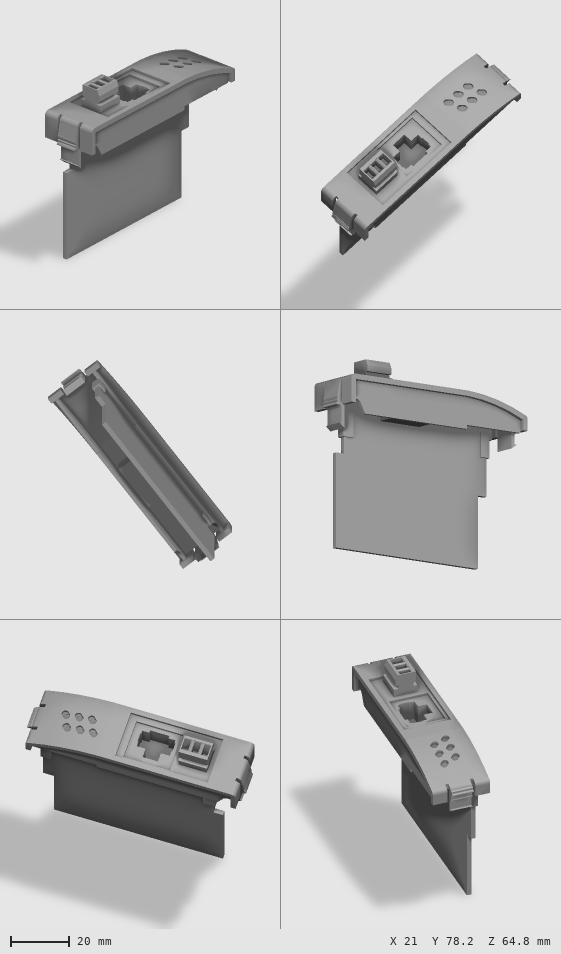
import cadquery as cq
import math


WIDTH = 21.0
LENGTH = 78.2
COVER_END = 37.55
WALL = 1.9
CURVE_START_Y = 12.2
CURVE_MID = (24.9, -1.7)
CURVE_END_Z = -6.0
FRONT_ROUND = 1.7
REAR_ROUND = 1.6
FRONT_SKIRT_Z = -9.9
REAR_SKIRT_Z = -10.9
INNER_END = COVER_END - WALL
BELOW = -31.3

CLIP_HALF_WIDTH = 3.9
NOTCH_WIDTH = 1.2
REAR_NOTCH_Y = 35.3
TIP_Y = LENGTH / 2
LEG_FACE_Y = 36.9
FRONT_HOOK_Y = 37.6
FRONT_HOOK_Z = -16.1
FRONT_HOOK_TIP_Z = -17.75
REAR_HOOK_Y = 37.9
REAR_HOOK_Z = -14.55
REAR_HOOK_TIP_Z = -16.1
LEG_ROOT_Y = 37.3
LEG_ROOT_END_Z = -10.65
GRIP_Y = 38.5
GRIP_UPPER_RIB_Z = (-6.3, -7.6)
GRIP_UPPER_RIB_CREST = (-38.65, -7.0)
GRIP_GROOVE = (-38.4, -7.9)
GRIP_LOWER_RIB_CREST = (-38.8, -8.4)
GRIP_LOWER_RIB_END_Z = -8.8
GRIP_LIP_Z = -8.9
LIP_TOP_Z = -6.4
LIP_TOP_Y = (37.4, 37.9)
LIP_STEP_Y = 38.3
LIP_BEVEL_Z = -6.7
LIP_STEP_Z = -7.35
LIP_BOTTOM_Z = -7.9
LIP_ROUND = LIP_STEP_Z - LIP_BOTTOM_Z
REAR_BEAD_Y = 37.9
REAR_BEAD_Z = (-10.3, -10.65)

PLATE_SPANS = ((-8.4, -7.2), (7.7, 8.85))
PLATE_REAR_Z = -11.6
PLATE_FRONT_Z = -13.0
PLATE_STEP_Y = 12.8
PLATE_TOE_Y = -30.5
PLATE_RELIEF_Z = -8.3
PLATE_RELIEF_Y = -33.0
RELIEF_ROUND = 1.95

BOARD_X = (-7.2, -5.55)
BOARD_TOP_Z = FRONT_SKIRT_Z
BOARD_BOTTOM_Z = -57.3
BOARD_UPPER_Y = (-28.6, 32.2)
BOARD_LOWER_Y = (-32.0, 28.4)
BOARD_FRONT_STEP_Z = -24.25
BOARD_REAR_STEP_Z = -31.85
SUPPORT_X = (-7.9, -4.85)
SUPPORT_BOTTOM_Z = -18.5
SUPPORT_SPANS_Y = ((29.3, 32.9), (-29.4, -25.1))

WINDOW_X = (-8.6, 8.6)
WINDOW_Y = (-27.0, 6.0)
WINDOW_Z = -1.0
JACK_X = (-7.7, 6.5)
JACK_Y = (-13.3, 3.45)
JACK_FACE_Z = -1.9
JACK_FLOOR_Z = -9.0
JACK_BOTTOM_Z = FRONT_SKIRT_Z
JACK_BASE_X = (-7.7, 5.1)
JACK_BASE_Z = -11.1
SOCKET_CENTER_Y = -5.4
SOCKET_STEPS = (
    ((-5.3, 5.1), 2.7),
    ((-2.0, 5.1), 3.45),
    ((-2.0, 4.15), 5.95),
    ((-0.15, 3.0), 6.25),
)

PLUG_Y = (-25.35, -15.2)
PLUG_TOP_Z = 7.5
PLUG_BASE_X = (-4.6, 3.9)
PLUG_GROOVE_X = (-3.2, 2.2)
PLUG_GROOVE_Z = (1.9, 3.3)
PLUG_HEAD_X = (-4.15, 3.4)
PLUG_SLOPE_Z = 5.5
PLUG_TOP_RIGHT_X = 2.5
WELL_COUNT = 3
WELL_PITCH = 3.5
WELL_LENGTH = 2.35
WELL_X = (-2.65, 1.4)
WELL_FLOOR_X = -0.2
WELL_DEPTH = 4.3
WELL_LEAD_IN = 0.2
RIDGE_DROP = 0.1
RIB_SHOULDER_DROP = 0.5

HOLE_RADIUS = 1.21
HOLE_PITCH_Y = 4.7
HOLE_COLUMNS = ((-3.0, 15.5), (1.7, 17.4))
HOLE_ROWS = 3
HOLE_DEPTH = 1.2
SLOT_DEPTH = 1.0
SLOT_SHIFT = 0.8


def box(xs, ys, zs):
    """Block spanning the given (low, high) pairs."""
    size = [high - low for low, high in (xs, ys, zs)]
    return cq.Workplane("XY").box(*size, centered=False).translate((xs[0], ys[0], zs[0]))


def along_x(outline, xs):
    """Extrude a closed Y-Z outline between two X positions."""
    return outline.extrude(xs[1] - xs[0]).translate((xs[0], 0, 0))


def roof_outline():
    """Outer side outline of the cover, closed well below it."""
    return (
        cq.Workplane("YZ")
        .moveTo(-COVER_END, BELOW)
        .lineTo(-COVER_END, 0)
        .lineTo(CURVE_START_Y, 0)
        .threePointArc(CURVE_MID, (COVER_END, CURVE_END_Z))
        .lineTo(COVER_END, BELOW)
        .close()
    )


full_width = (-WIDTH / 2, WIDTH / 2)
clip_width = (-CLIP_HALF_WIDTH, CLIP_HALF_WIDTH)
cavity = along_x(roof_outline().offset2D(-WALL, "intersection"), full_width)


def make_cover():
    """Roof with a rounded end wall at each end; the sides and the underside are open."""
    front_corner = cq.selectors.NearestToPointSelector((0, -COVER_END, 0))
    rear_corner = cq.selectors.NearestToPointSelector((0, COVER_END, CURVE_END_Z))
    cover = along_x(roof_outline(), full_width)
    cover = cover.edges(front_corner).fillet(FRONT_ROUND)
    cover = cover.edges(rear_corner).fillet(REAR_ROUND)
    cover = cover.cut(cavity)
    cover = cover.cut(box(full_width, (-COVER_END, 0), (BELOW, FRONT_SKIRT_Z)))
    cover = cover.cut(box(full_width, (0, COVER_END), (BELOW, REAR_SKIRT_Z)))
    notch_outer = CLIP_HALF_WIDTH + NOTCH_WIDTH
    for xs in ((-notch_outer, -CLIP_HALF_WIDTH), (CLIP_HALF_WIDTH, notch_outer)):
        cover = cover.cut(box(xs, (-COVER_END, -INNER_END), (BELOW, 0)))
        cover = cover.cut(box(xs, (REAR_NOTCH_Y, COVER_END), (BELOW, 0)))
    return cover


def make_front_clip():
    """Wedge-shaped thumb grip with two round ribs and a lip, above a hooked spring leg."""
    lip_reach = TIP_Y - GRIP_Y
    lip_drop = GRIP_LIP_Z - FRONT_SKIRT_Z
    lip_radius = (lip_reach**2 + lip_drop**2) / (2 * lip_reach)
    outline = (
        cq.Workplane("YZ")
        .moveTo(-INNER_END, -FRONT_ROUND)
        .lineTo(-COVER_END, -FRONT_ROUND)
        .lineTo(-GRIP_Y, GRIP_UPPER_RIB_Z[0])
        .threePointArc(GRIP_UPPER_RIB_CREST, (-GRIP_Y, GRIP_UPPER_RIB_Z[1]))
        .lineTo(*GRIP_GROOVE)
        .threePointArc(GRIP_LOWER_RIB_CREST, (-GRIP_Y, GRIP_LOWER_RIB_END_Z))
        .lineTo(-GRIP_Y, GRIP_LIP_Z)
        .radiusArc((-TIP_Y, FRONT_SKIRT_Z), -lip_radius)
        .lineTo(-LEG_ROOT_Y, FRONT_SKIRT_Z)
        .lineTo(-LEG_FACE_Y, LEG_ROOT_END_Z)
        .lineTo(-LEG_FACE_Y, FRONT_HOOK_Z)
        .lineTo(-FRONT_HOOK_Y, FRONT_HOOK_Z)
        .lineTo(-INNER_END, FRONT_HOOK_TIP_Z)
        .close()
    )
    return along_x(outline, clip_width)


def make_rear_clip():
    """Stepped finger lip and a small lower lip, above a hooked spring leg."""
    outline = (
        cq.Workplane("YZ")
        .moveTo(INNER_END, LIP_STEP_Z)
        .lineTo(LIP_TOP_Y[0], LIP_TOP_Z)
        .lineTo(LIP_TOP_Y[1], LIP_TOP_Z)
        .lineTo(LIP_STEP_Y, LIP_BEVEL_Z)
        .lineTo(LIP_STEP_Y, LIP_STEP_Z)
        .lineTo(TIP_Y - LIP_ROUND, LIP_STEP_Z)
        .radiusArc((TIP_Y, LIP_BOTTOM_Z), LIP_ROUND)
        .lineTo(COVER_END, LIP_BOTTOM_Z)
        .lineTo(COVER_END, REAR_BEAD_Z[0])
        .lineTo(REAR_BEAD_Y, REAR_BEAD_Z[0])
        .lineTo(REAR_BEAD_Y, REAR_BEAD_Z[1])
        .lineTo(LEG_FACE_Y, REAR_BEAD_Z[1])
        .lineTo(LEG_FACE_Y, REAR_HOOK_Z)
        .lineTo(REAR_HOOK_Y, REAR_HOOK_Z)
        .lineTo(INNER_END, REAR_HOOK_TIP_Z)
        .close()
    )
    return along_x(outline, clip_width)


def make_side_plate(xs):
    """Thin plate under the roof, with a stepped lower edge and a rounded relief at the front."""
    outline = (
        cq.Workplane("YZ")
        .moveTo(INNER_END, 0)
        .lineTo(INNER_END, PLATE_REAR_Z)
        .lineTo(PLATE_STEP_Y, PLATE_REAR_Z)
        .lineTo(PLATE_STEP_Y, PLATE_FRONT_Z)
        .lineTo(PLATE_TOE_Y, PLATE_FRONT_Z)
        .lineTo(PLATE_RELIEF_Y, PLATE_RELIEF_Z)
        .lineTo(-INNER_END, PLATE_RELIEF_Z)
        .lineTo(-INNER_END, 0)
        .close()
    )
    plate = along_x(outline, xs)
    relief_corner = cq.selectors.NearestToPointSelector((sum(xs) / 2, PLATE_RELIEF_Y, PLATE_RELIEF_Z))
    return plate.edges(relief_corner).fillet(RELIEF_ROUND).intersect(cavity)


def make_board():
    """Circuit board hanging below the cover, with its two supports."""
    outline = (
        cq.Workplane("YZ")
        .moveTo(BOARD_UPPER_Y[0], BOARD_TOP_Z)
        .lineTo(BOARD_UPPER_Y[0], BOARD_FRONT_STEP_Z)
        .lineTo(BOARD_LOWER_Y[0], BOARD_FRONT_STEP_Z)
        .lineTo(BOARD_LOWER_Y[0], BOARD_BOTTOM_Z)
        .lineTo(BOARD_LOWER_Y[1], BOARD_BOTTOM_Z)
        .lineTo(BOARD_LOWER_Y[1], BOARD_REAR_STEP_Z)
        .lineTo(BOARD_UPPER_Y[1], BOARD_REAR_STEP_Z)
        .lineTo(BOARD_UPPER_Y[1], BOARD_TOP_Z)
        .close()
    )
    board = along_x(outline, BOARD_X)
    for ys in SUPPORT_SPANS_Y:
        board = board.union(box(SUPPORT_X, ys, (SUPPORT_BOTTOM_Z, BOARD_TOP_Z)))
    return board


def make_socket():
    """Opening of the network jack: stepped blocks sharing one centre line, latch slot towards -X."""
    socket = cq.Workplane("XY")
    for xs, half_length in SOCKET_STEPS:
        ys = (SOCKET_CENTER_Y - half_length, SOCKET_CENTER_Y + half_length)
        socket = socket.union(box(xs, ys, (JACK_FLOOR_Z, JACK_FACE_Z)))
    return socket


def make_plug():
    """Terminal plug with grooved sides and three wire wells in its top."""
    outline = (
        cq.Workplane("XZ")
        .moveTo(PLUG_BASE_X[0], WINDOW_Z)
        .lineTo(PLUG_BASE_X[0], PLUG_GROOVE_Z[0])
        .lineTo(PLUG_GROOVE_X[0], PLUG_GROOVE_Z[0])
        .lineTo(PLUG_GROOVE_X[0], PLUG_GROOVE_Z[1])
        .lineTo(PLUG_HEAD_X[0], PLUG_GROOVE_Z[1])
        .lineTo(PLUG_HEAD_X[0], PLUG_TOP_Z)
        .lineTo(PLUG_TOP_RIGHT_X, PLUG_TOP_Z)
        .lineTo(PLUG_HEAD_X[1], PLUG_SLOPE_Z)
        .lineTo(PLUG_HEAD_X[1], PLUG_GROOVE_Z[1])
        .lineTo(PLUG_GROOVE_X[1], PLUG_GROOVE_Z[1])
        .lineTo(PLUG_GROOVE_X[1], PLUG_GROOVE_Z[0])
        .lineTo(PLUG_BASE_X[1], PLUG_GROOVE_Z[0])
        .lineTo(PLUG_BASE_X[1], WINDOW_Z)
        .close()
    )
    plug = outline.extrude(PLUG_Y[1] - PLUG_Y[0]).translate((0, PLUG_Y[1], 0))
    well_floor_z = PLUG_TOP_Z - WELL_DEPTH
    lead_in_z = PLUG_TOP_Z - WELL_LEAD_IN
    middle_y = sum(PLUG_Y) / 2
    for index in range(WELL_COUNT):
        center_y = middle_y + (index - (WELL_COUNT - 1) / 2) * WELL_PITCH
        well = (
            cq.Workplane("XZ")
            .moveTo(WELL_X[0], well_floor_z)
            .lineTo(WELL_FLOOR_X, well_floor_z)
            .lineTo(WELL_X[1], lead_in_z)
            .lineTo(WELL_X[1] + WELL_LEAD_IN, PLUG_TOP_Z)
            .lineTo(WELL_X[0] - WELL_LEAD_IN, PLUG_TOP_Z)
            .lineTo(WELL_X[0], lead_in_z)
            .close()
            .extrude(WELL_LENGTH / 2, both=True)
            .translate((0, center_y, 0))
        )
        plug = plug.cut(well)
    mouth_x = (WELL_X[0] - WELL_LEAD_IN, WELL_X[1] + WELL_LEAD_IN)
    rib_half = (WELL_PITCH - WELL_LENGTH) / 2
    shoulder_z = PLUG_TOP_Z - RIB_SHOULDER_DROP
    for index in range(WELL_COUNT - 1):
        rib_y = middle_y + (index - (WELL_COUNT - 2) / 2) * WELL_PITCH
        above_rib = (
            cq.Workplane("YZ")
            .moveTo(rib_y - rib_half, PLUG_TOP_Z)
            .lineTo(rib_y - rib_half, shoulder_z)
            .lineTo(rib_y, PLUG_TOP_Z - RIDGE_DROP)
            .lineTo(rib_y + rib_half, shoulder_z)
            .lineTo(rib_y + rib_half, PLUG_TOP_Z)
            .close()
        )
        plug = plug.cut(along_x(above_rib, mouth_x))
    return plug


def above_sunken_roof(depth):
    """Space from the given depth under the roof surface up to the top of the cover."""
    space = box(full_width, (-COVER_END, COVER_END), (BELOW, 0))
    return space.cut(along_x(roof_outline(), full_width).translate((0, 0, -depth)))


def make_holes():
    """Two columns of indicator holes whose floors follow the curved roof."""
    places = []
    for x, first_y in HOLE_COLUMNS:
        places += [(x, first_y + row * HOLE_PITCH_Y) for row in range(HOLE_ROWS)]
    slot_places = [(x + SLOT_SHIFT / 2, y + SLOT_SHIFT / 2) for x, y in places]
    slot_length = 2 * HOLE_RADIUS + math.hypot(SLOT_SHIFT, SLOT_SHIFT)
    slot_angle = 45
    base = cq.Workplane("XY").workplane(offset=CURVE_END_Z)
    rounds = base.pushPoints(places).circle(HOLE_RADIUS).extrude(-CURVE_END_Z)
    slots = base.pushPoints(slot_places).slot2D(slot_length, 2 * HOLE_RADIUS, slot_angle)
    slots = slots.extrude(-CURVE_END_Z)
    rounds = rounds.intersect(above_sunken_roof(HOLE_DEPTH))
    slots = slots.intersect(above_sunken_roof(SLOT_DEPTH))
    return rounds.union(slots)


result = make_cover().union(make_front_clip()).union(make_rear_clip())
for plate_span in PLATE_SPANS:
    result = result.union(make_side_plate(plate_span))
result = result.union(make_board())
result = result.union(box(JACK_X, JACK_Y, (JACK_BOTTOM_Z, JACK_FACE_Z)))
result = result.union(box(JACK_BASE_X, JACK_Y, (JACK_BASE_Z, JACK_BOTTOM_Z)))
result = result.cut(box(WINDOW_X, WINDOW_Y, (WINDOW_Z, 0)))
result = result.cut(box(JACK_X, JACK_Y, (JACK_FACE_Z, 0)))
result = result.cut(make_socket())
result = result.union(make_plug())
result = result.cut(make_holes())